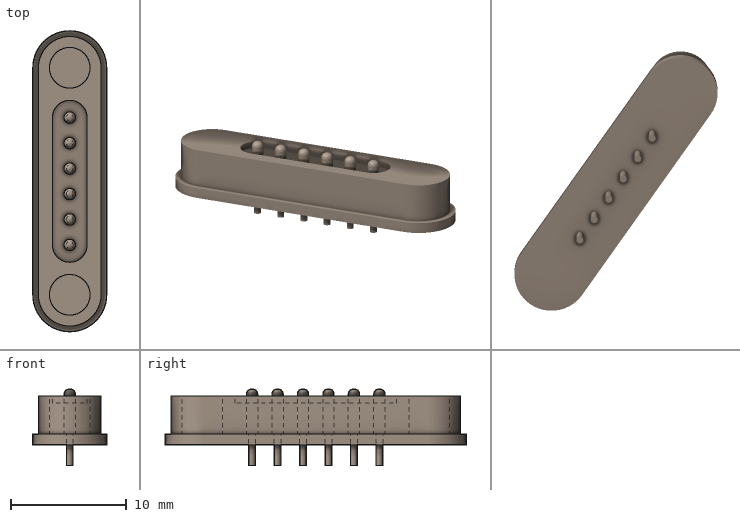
import cadquery as cq

flange_length = 26.0
flange_width = 6.4
flange_height = 0.9
flange_ledge = 0.5
housing_height = 4.2
block_length = flange_length - 2 * flange_ledge
block_width = flange_width - 2 * flange_ledge

pin_count = 6
pin_row_length = 11.0
pin_pitch = pin_row_length / (pin_count - 1)
plunger_diameter = 1.0
tail_diameter = 0.6
tail_length = 1.8
pin_projection = 0.6
nose_radius = 0.45
pin_top = housing_height + pin_projection
plunger_base = flange_height
pin_positions = [i * pin_pitch - pin_row_length / 2 for i in range(pin_count)]

recess_width = 3.0
recess_length = pin_row_length + recess_width
recess_depth = 0.6

magnet_diameter = 3.5
magnet_base = flange_height
magnet_offset = (flange_length - flange_width) / 2
magnet_positions = [-magnet_offset, magnet_offset]


def stadium(length, width, bottom, top):
    """Upright block with round ends, long axis along Y."""
    return cq.Workplane("XY", origin=(0, 0, bottom)).slot2D(length, width, 90).extrude(top - bottom)


def cylinder(diameter, y, bottom, top):
    """Upright cylinder on the housing's centre line."""
    return cq.Workplane("XY", origin=(0, y, bottom)).circle(diameter / 2).extrude(top - bottom)


def make_pin(y):
    """Plunger rounded to a tiny flat tip, with a thinner tail out of the underside."""
    tail = cylinder(tail_diameter, y, -tail_length, plunger_base)
    plunger = cylinder(plunger_diameter, y, plunger_base, pin_top)
    rounded_plunger = plunger.edges(">Z").fillet(nose_radius)
    return tail.union(rounded_plunger)


def make_magnet(y):
    """Disc magnet; its shape also forms the pocket that holds it."""
    return cylinder(magnet_diameter, y, magnet_base, housing_height)


def make_housing(fitted_bodies):
    """Flange and block, with the recess and a matching seat for each fitted body."""
    flange = stadium(flange_length, flange_width, 0, flange_height)
    block = stadium(block_length, block_width, flange_height, housing_height)
    recess = stadium(recess_length, recess_width, housing_height - recess_depth, housing_height)
    body = flange.union(block).cut(recess)
    for fitted in fitted_bodies:
        body = body.cut(fitted)
    return body


pins = [make_pin(y) for y in pin_positions]
magnets = [make_magnet(y) for y in magnet_positions]
housing = make_housing(pins + magnets)

result = cq.Compound.makeCompound([
    housing.solids().val(),
    *[magnet.solids().val() for magnet in magnets],
    *[pin.solids().val() for pin in pins],
])